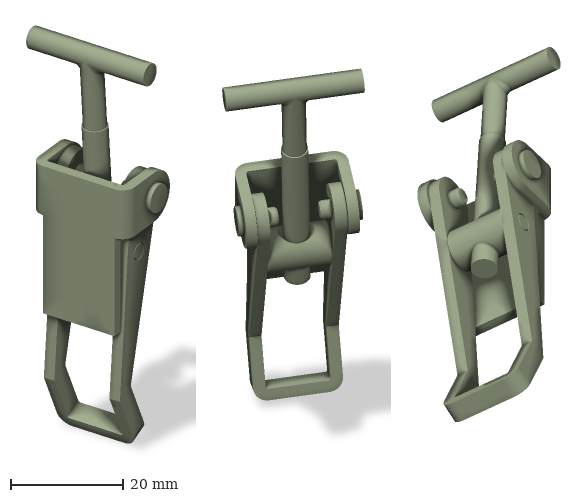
import cadquery as cq
import math


ear_radius = 5.0
plate_depth = 9.0
sheet_thickness = 2.0
bracket_width = 20.5
bend_radius = 2.6
plate_width = 15.3
plate_length = 30.0

lever_width = 16.25
lever_thickness = 2.25
eye_radius = 4.5
corner_radius = 2.65
inner_corner_radius = corner_radius - lever_thickness
bend_back = (-4.4, -37.2)
leg_depth = 3.9
leg_length = 12.8
leg_tilt = 24.6

head_radius = 2.7
head_height = 1.0
shank_radius = 1.7
shank_end = 3.8
end_chamfer_length = 0.4
end_chamfer_depth = 0.28

barrel_y = -1.8
barrel_z = -10.95
barrel_radius = 3.95
barrel_chamfer = 0.25
countersink_radius = 3.4

bolt_tilt = 4.55
thread_radius = 2.4
rod_radius = 2.2
grip_length = 25.0
grip_distance = 38.9
step_distance = 24.3
tail_length = 7.4
grip_bevel = 0.8

lever_inner = lever_width / 2 - lever_thickness


def x_cylinder(radius, x_start, x_end, y=0, z=0):
    """Cylinder along X between two X positions."""
    return cq.Workplane("YZ", origin=(x_start, y, z)).circle(radius).extrude(x_end - x_start)


def make_bracket():
    """Sheet bent into a U whose arms are the pivot ears, with a longer flat plate at the bend."""
    section = (
        cq.Workplane("XY", origin=(0, 0, -ear_radius))
        .rect(bracket_width, 2 * plate_depth)
        .extrude(2 * ear_radius)
        .edges("|Z and <Y")
        .fillet(bend_radius)
    )
    channel = (
        cq.Workplane("XY", origin=(0, sheet_thickness, -ear_radius))
        .rect(bracket_width - 2 * sheet_thickness, 2 * plate_depth)
        .extrude(2 * ear_radius)
        .edges("|Z and <Y")
        .fillet(bend_radius - sheet_thickness)
    )
    ear_side = (
        cq.Workplane("YZ", origin=(-bracket_width / 2, 0, 0))
        .moveTo(-plate_depth, -ear_radius)
        .lineTo(0, -ear_radius)
        .threePointArc((ear_radius, 0), (0, ear_radius))
        .lineTo(-plate_depth, ear_radius)
        .close()
        .extrude(bracket_width)
    )
    plate = (
        cq.Workplane("XY", origin=(0, -plate_depth, ear_radius - plate_length))
        .box(plate_width, sheet_thickness, plate_length, centered=(True, False, False))
    )
    holes = x_cylinder(shank_radius, -bracket_width, bracket_width)
    return section.cut(channel).intersect(ear_side).union(plate).cut(holes)


def eye_tangent_point(point, side):
    """Point where the line from `point` touches the lever eye; `side` picks which of the two."""
    distance = math.hypot(*point)
    angle = math.atan2(point[1], point[0]) + side * math.acos(eye_radius / distance)
    return (eye_radius * math.cos(angle), eye_radius * math.sin(angle))


def fork_block(plane, start, width, radius, height):
    """Block above `start` along the leg, with its two lower corners rounded."""
    half = width / 2
    return (
        cq.Workplane(plane)
        .moveTo(-half, height)
        .lineTo(-half, start + radius)
        .radiusArc((-half + radius, start), -radius)
        .lineTo(half - radius, start)
        .radiusArc((half, start + radius), -radius)
        .lineTo(half, height)
        .close()
        .extrude(height, both=True)
    )


def make_lever():
    """Fork with an eye at the rivets, a bent leg and a bar across the end of the leg."""
    tilt = math.radians(leg_tilt)
    down = (math.sin(tilt), -math.cos(tilt))
    across = (-math.cos(tilt), -math.sin(tilt))
    bend_front = (bend_back[0] + leg_depth * across[0], bend_back[1] + leg_depth * across[1])
    end_back = (bend_back[0] + leg_length * down[0], bend_back[1] + leg_length * down[1])
    end_front = (bend_front[0] + leg_length * down[0], bend_front[1] + leg_length * down[1])
    side = (
        cq.Workplane("YZ", origin=(-lever_width / 2, 0, 0))
        .moveTo(*eye_tangent_point(bend_back, 1))
        .threePointArc((0, eye_radius), eye_tangent_point(bend_front, -1))
        .lineTo(*bend_front)
        .lineTo(*end_front)
        .lineTo(*end_back)
        .lineTo(*bend_back)
        .close()
        .extrude(lever_width)
    )
    fork_plane = cq.Plane(origin=(0, *end_back), xDir=(1, 0, 0), normal=(0, *across))
    fork_height = 2 * math.hypot(*end_back)
    fork = fork_block(fork_plane, 0, lever_width, corner_radius, fork_height)
    gap = fork_block(fork_plane, lever_thickness, 2 * lever_inner, inner_corner_radius, fork_height)
    holes = x_cylinder(shank_radius, -lever_width, lever_width).union(
        x_cylinder(shank_radius, -lever_width, lever_width, barrel_y, barrel_z)
    )
    return side.intersect(fork.cut(gap)).cut(holes)


def make_rivet(side):
    """Rivet on one side: `side` is -1 for the -X ear and 1 for the +X ear."""
    head = x_cylinder(head_radius, bracket_width / 2, bracket_width / 2 + head_height)
    shank = x_cylinder(shank_radius, shank_end, bracket_width / 2)
    shank = shank.faces("<X").chamfer(end_chamfer_length, end_chamfer_depth)
    rivet = head.union(shank)
    return rivet if side > 0 else rivet.mirror("YZ")


def bolt_cylinder(radius, start, end):
    """Cylinder on an upright bolt axis between two heights above the barrel axis."""
    return cq.Workplane("XY", origin=(0, 0, start)).circle(radius).extrude(end - start)


def lean_on_barrel(upright):
    """Tilt a shape made on an upright bolt axis and move it to the barrel."""
    return upright.rotate((0, 0, 0), (1, 0, 0), bolt_tilt).translate((0, barrel_y, barrel_z))


def make_barrel():
    """Barrel between the lever arms, drilled and countersunk for the bolt."""
    body = x_cylinder(barrel_radius, -lever_inner, lever_inner, barrel_y, barrel_z)
    body = body.faces("<X or >X").chamfer(barrel_chamfer)
    trunnions = x_cylinder(shank_radius, -lever_width / 2, lever_width / 2, barrel_y, barrel_z)
    trunnions = trunnions.faces("<X or >X").chamfer(end_chamfer_length, end_chamfer_depth)
    hole = bolt_cylinder(thread_radius, -2 * barrel_radius, 2 * barrel_radius)
    cone_depth = countersink_radius - thread_radius
    cone = cq.Solid.makeCone(
        thread_radius,
        countersink_radius + cone_depth,
        2 * cone_depth,
        pnt=cq.Vector(0, 0, barrel_radius - cone_depth),
    )
    return body.union(trunnions).cut(lean_on_barrel(hole.union(cone)))


def make_grip_gusset():
    """Material that bevels the +X corner between the rod and the grip, for an upright bolt.

    Rod and grip are equal cylinders, so an elliptic cylinder at 45 degrees makes the bevel.
    It is widest in the plane of the T and runs out where the rod and the grip meet at +Y and -Y.
    """
    reach = 2 * rod_radius
    bevel_radius = (2 * rod_radius + grip_bevel) / math.sqrt(2)
    bevel_plane = cq.Plane(origin=(0, 0, grip_distance), xDir=(0, 1, 0), normal=(1, 0, 1))
    bevel = cq.Workplane(bevel_plane).ellipse(rod_radius, bevel_radius).extrude(reach, both=True)
    corner = cq.Workplane("XY").box(reach, reach, reach, centered=(False, True, False))
    return bevel.intersect(corner.translate((0, 0, grip_distance - reach)))


def make_bolt():
    """T-bolt: thread, thinner rod and a cross grip with bevelled corners."""
    thread = bolt_cylinder(thread_radius, -tail_length, step_distance)
    rod = bolt_cylinder(rod_radius, step_distance, grip_distance)
    grip = x_cylinder(rod_radius, -grip_length / 2, grip_length / 2, z=grip_distance)
    gusset = make_grip_gusset()
    upright = grip.union(rod).union(gusset).union(gusset.mirror("YZ")).union(thread)
    return lean_on_barrel(upright)


bracket = make_bracket()
lever = make_lever()
rivets = [make_rivet(side) for side in (-1, 1)]
barrel = make_barrel()
bolt = make_bolt()

bodies = [bracket, lever, *rivets, barrel, bolt]
result = cq.Compound.makeCompound([body.solids().val() for body in bodies])